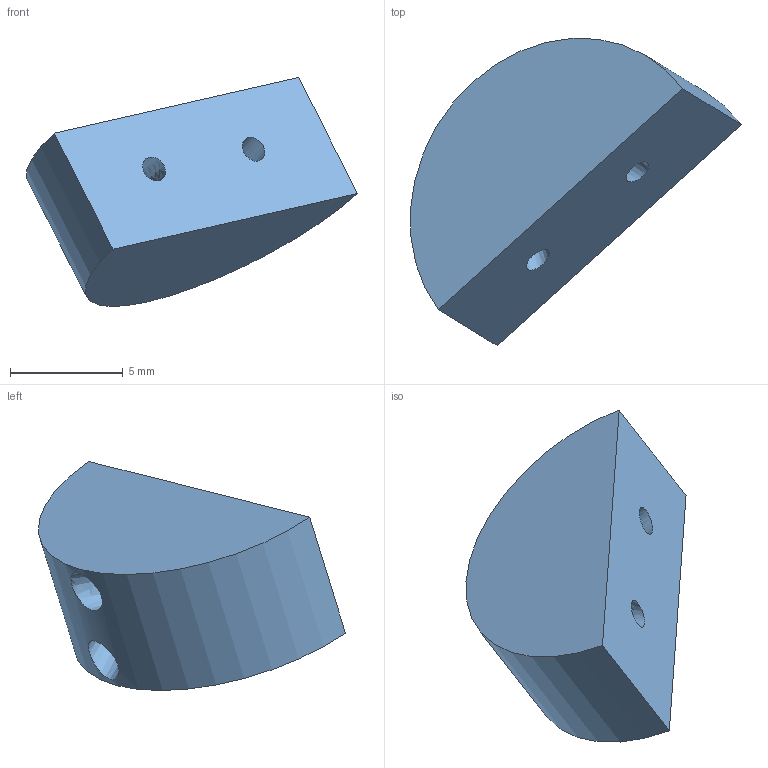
import cadquery as cq
import math

body_radius = 7.42
body_thickness = 5.99

entry_radius = 0.58
exit_radius = 0.92
entry_offset = 2.99
left_entry_depth = 2.72
right_entry_depth = 2.84
left_exit_offset = 0.24
right_exit_offset = 0.54
left_exit_depth = 1.18
right_exit_depth = 4.77
hole_overshoot = 0.2

tilt_x = -29.28
tilt_y = -9.6
tilt_z = 42.1


def half_disc():
    return (
        cq.Workplane("XY")
        .moveTo(-body_radius, 0)
        .threePointArc((0, body_radius), (body_radius, 0))
        .close()
        .extrude(-body_thickness)
    )


def flat_face_point(offset, depth):
    return cq.Vector(offset, 0, -depth)


def curved_wall_point(offset, depth):
    height = math.sqrt(body_radius**2 - offset**2)
    return cq.Vector(offset, height, -depth)


def tapered_hole(entry, exit_point):
    """Cone through both points, continued past the flat face and the curved wall."""
    axis = exit_point - entry
    overshoot = axis * hole_overshoot
    radius_change = (exit_radius - entry_radius) * hole_overshoot
    cone = cq.Solid.makeCone(
        entry_radius - radius_change,
        exit_radius + radius_change,
        axis.Length * (1 + 2 * hole_overshoot),
        entry - overshoot,
        axis,
    )
    return cq.Workplane(cone)


left_hole = tapered_hole(
    flat_face_point(-entry_offset, left_entry_depth),
    curved_wall_point(left_exit_offset, left_exit_depth),
)
right_hole = tapered_hole(
    flat_face_point(entry_offset, right_entry_depth),
    curved_wall_point(right_exit_offset, right_exit_depth),
)
body = half_disc().cut(left_hole).cut(right_hole)

result = (
    body.rotate((0, 0, 0), (1, 0, 0), tilt_x)
    .rotate((0, 0, 0), (0, 1, 0), tilt_y)
    .rotate((0, 0, 0), (0, 0, 1), tilt_z)
)